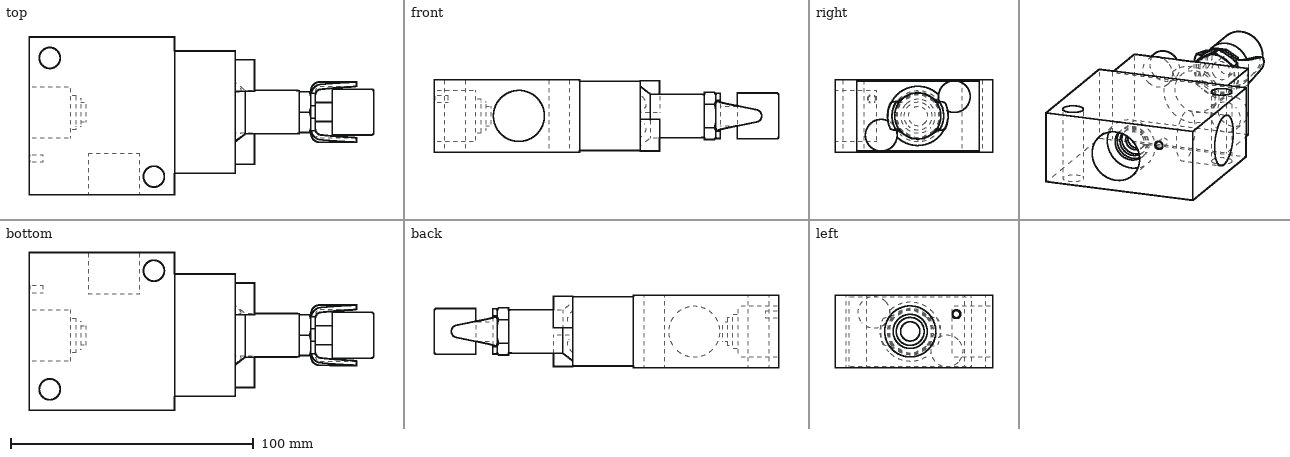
import cadquery as cq
import math


block_length = 59.9
block_height = 30.0
block_width = 65.0
block_back = 31.0
block_front = block_back - block_width
mount_hole_dia = 8.5
mount_hole_inset = 8.5
back_mount_y = 22.3
front_mount_y = -26.5
port_dia = 21.0
port_depth = 17.0
side_port_x = 35.0
inner_bore_dias = [14.0, 11.5, 8.0]
inner_bore_step = 2.1
pilot_dia = 3.0
pilot_mouth_dia = 3.5
pilot_depth = 5.7
pilot_y = -19.0
pilot_z = 7.1

flange_end = 84.9
flange_width = 50.4
flange_height = 28.7
neck_dia = 24.4
neck_end = 89.0
sleeve_dia = 18.0
sleeve_end = 111.3
sleeve_chamfer_length = 1.3
sleeve_chamfer_depth = 0.21
screw_clearance_dia = 13.2

screw_head_dia = 13.0
screw_head_end = 92.9
screw_y = 15.0
screw_z = 8.0
screw_points = [(screw_y, screw_z), (-screw_y, -screw_z)]


nut_end = 116.0
nut_across_flats = 16.9
nut_chamfer_dia = 17.6
nut_chamfer_angle = math.radians(30)
nut_across_corners = nut_across_flats / math.cos(math.pi / 6)

clip_thickness = 1.8
clip_outer_radius = 12.5
clip_bend_radius = 3.8
clip_inner_radius = clip_outer_radius - clip_thickness
clip_plate_end = nut_end + clip_thickness
clip_bend_end = nut_end + clip_bend_radius
plate_half_width = 7.7
plate_half_height = 9.4
plate_flat_half_width = 2.5
plate_slope_rise = (plate_half_width - plate_flat_half_width) * math.tan(math.pi / 6)
plate_side_half_height = plate_half_height - plate_slope_rise
arm_end = 134.9
arm_root_half_height = 6.1
arm_tip_radius = 2.5
arm_taper = math.radians(11.6)

spindle_dia = 8.0
knob_dia = 19.0
knob_start = 124.8
knob_end = 142.0
knob_fillet = 1.1


def rod(diameter, start, end, y=0, z=0):
    """Cylinder along X between two X positions."""
    return cq.Workplane("YZ", origin=(start, y, z)).circle(diameter / 2).extrude(end - start)


def make_block():
    block = cq.Workplane("XY").box(block_length, block_width, block_height, centered=False)
    block = block.translate((0, block_front, -block_height / 2))

    mount_points = [
        (mount_hole_inset, back_mount_y),
        (block_length - mount_hole_inset, front_mount_y),
    ]
    mount_holes = (
        cq.Workplane("XY", origin=(0, 0, -block_height / 2))
        .pushPoints(mount_points).circle(mount_hole_dia / 2).extrude(block_height)
    )
    side_port = (
        cq.Workplane("XZ", origin=(side_port_x, block_front, 0))
        .circle(port_dia / 2).extrude(-port_depth)
    )
    block = block.cut(mount_holes).cut(side_port)

    block = block.cut(rod(port_dia, 0, port_depth))
    for step, diameter in enumerate(inner_bore_dias, start=1):
        block = block.cut(rod(diameter, 0, port_depth + step * inner_bore_step))

    pilot = rod(pilot_dia, 0, pilot_depth, pilot_y, pilot_z)
    mouth_depth = (pilot_mouth_dia - pilot_dia) / 2
    mouth = (
        cq.Workplane("YZ", origin=(0, pilot_y, pilot_z))
        .circle(pilot_mouth_dia / 2).workplane(offset=mouth_depth).circle(pilot_dia / 2).loft()
    )
    return block.cut(pilot).cut(mouth)


def make_bonnet():
    flange = (
        cq.Workplane("YZ", origin=(block_length, 0, 0))
        .rect(flange_width, flange_height).extrude(flange_end - block_length)
    )
    sleeve_radius = sleeve_dia / 2
    sleeve = (
        cq.Workplane("XY")
        .moveTo(flange_end, 0)
        .lineTo(flange_end, neck_dia / 2)
        .lineTo(neck_end, sleeve_radius)
        .lineTo(sleeve_end - sleeve_chamfer_length, sleeve_radius)
        .lineTo(sleeve_end, sleeve_radius - sleeve_chamfer_depth)
        .lineTo(sleeve_end, 0)
        .close()
        .revolve(360, (0, 0, 0), (1, 0, 0))
    )
    bonnet = flange.union(sleeve)
    for y, z in screw_points:
        bonnet = bonnet.cut(rod(screw_clearance_dia, flange_end, screw_head_end, y, z))
    return bonnet


def make_screw_head(y, z):
    return rod(screw_head_dia, flange_end, screw_head_end, y, z)


def make_nut():
    hexagon = (
        cq.Workplane("YZ", origin=(sleeve_end, 0, 0))
        .transformed(rotate=(0, 0, 90))
        .polygon(6, nut_across_corners).extrude(nut_end - sleeve_end)
    )
    face_radius = nut_chamfer_dia / 2
    corner_radius = nut_across_corners / 2
    chamfer_length = (corner_radius - face_radius) * math.tan(nut_chamfer_angle)
    envelope = (
        cq.Workplane("XY")
        .moveTo(sleeve_end, 0)
        .lineTo(sleeve_end, corner_radius)
        .lineTo(nut_end - chamfer_length, corner_radius)
        .lineTo(nut_end, face_radius)
        .lineTo(nut_end, 0)
        .close()
        .revolve(360, (0, 0, 0), (1, 0, 0))
    )
    return hexagon.intersect(envelope)


def make_clip():
    plate_corners = [
        (plate_flat_half_width, plate_half_height),
        (plate_half_width, plate_side_half_height),
        (plate_half_width, -plate_side_half_height),
        (plate_flat_half_width, -plate_half_height),
    ]
    plate_corners += [(-y, z) for y, z in reversed(plate_corners)]
    plate = cq.Workplane("YZ", origin=(nut_end, 0, 0)).polyline(plate_corners).close().extrude(clip_thickness)

    bend_start = clip_outer_radius - clip_bend_radius
    inner_bend_radius = clip_bend_radius - clip_thickness
    cup = (
        cq.Workplane("XY")
        .moveTo(nut_end, 0)
        .lineTo(nut_end, bend_start)
        .radiusArc((clip_bend_end, clip_outer_radius), clip_bend_radius)
        .lineTo(arm_end, clip_outer_radius)
        .lineTo(arm_end, clip_inner_radius)
        .lineTo(clip_bend_end, clip_inner_radius)
        .radiusArc((clip_plate_end, bend_start), -inner_bend_radius)
        .lineTo(clip_plate_end, 0)
        .close()
        .revolve(360, (0, 0, 0), (1, 0, 0))
    )
    tip_center = arm_end - arm_tip_radius
    tangent_x = tip_center + arm_tip_radius * math.sin(arm_taper)
    tangent_z = arm_tip_radius * math.cos(arm_taper)
    bend_end_z = tangent_z + (tangent_x - clip_bend_end) * math.tan(arm_taper)
    arm_outline = (
        cq.Workplane("XZ")
        .moveTo(nut_end, arm_root_half_height)
        .lineTo(clip_bend_end, bend_end_z)
        .lineTo(tangent_x, tangent_z)
        .threePointArc((arm_end, 0), (tangent_x, -tangent_z))
        .lineTo(clip_bend_end, -bend_end_z)
        .lineTo(nut_end, -arm_root_half_height)
        .close()
        .extrude(clip_outer_radius, both=True)
    )
    return plate.union(cup.intersect(arm_outline))


def make_knob():
    knob = rod(knob_dia, knob_start, knob_end).faces(">X").edges().fillet(knob_fillet)
    return knob.union(rod(spindle_dia, clip_plate_end, knob_start))


def make_adjuster():
    return make_nut().union(make_clip()).union(make_knob())


block = make_block()
bonnet = make_bonnet()
screw_heads = [make_screw_head(y, z) for y, z in screw_points]
adjuster = make_adjuster()

result = cq.Compound.makeCompound([
    block.solids().val(),
    bonnet.solids().val(),
    *[head.val() for head in screw_heads],
    adjuster.solids().val(),
])